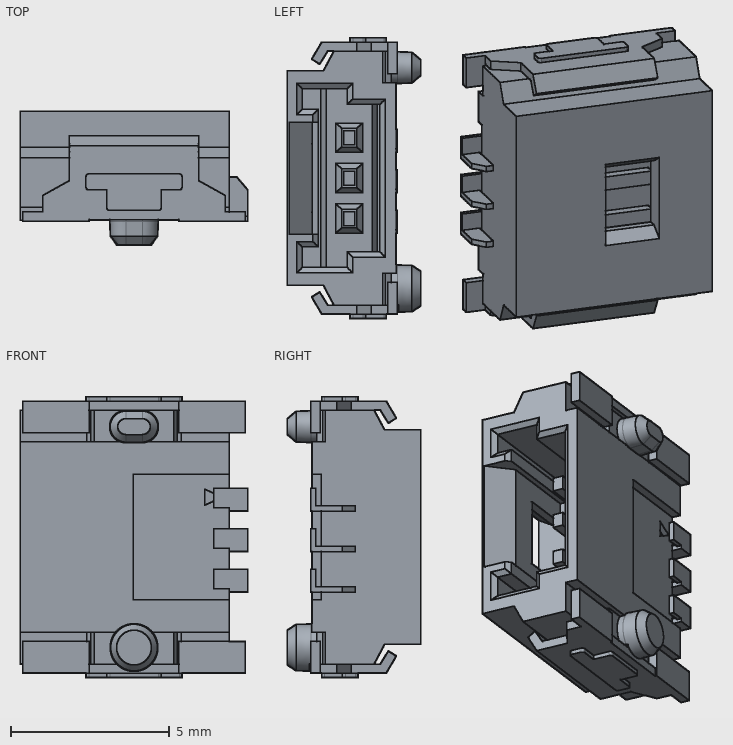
import cadquery as cq
import math


mouth_x = -3.6
rear_x = 3.01
body_front_y = 0.04
body_back_y = 3.485
rib_half_z = 4.02
back_half_z = 3.4
floor_half_z = 3.01
rib_slope_start_y = 2.01
rib_slope_end_y = 2.34

wall_chamfer = 0.17
chamfer_length = 0.125
cavity_end_x = 1.96
cavity_back_y = 3.005
rail_y = 2.5
rail_half_z = 2.18
cavity_step_y = 1.58
cavity_front_y = 0.55
cavity_wide_z = 2.83
cavity_narrow_z = 2.33

channel_half_z = 1.77
channel_y = 2.69
channel_end_x = 0
ramp_y = 3.42
window_start_x = -1.81
window_half_z = 1.085
window_flare_y = 2.99
window_flare_angle = 30

pitch = 1.28
contact_count = 3
pin_y = 1.52
platform_x = 1.66
platform_top_y = (0.79, 2.25)
platform_base_y = (0.63, 2.42)
pedestal_base = (0.86, 0.925)
pedestal_top = (0.47, 0.6)
pedestal_height = 0.22
pin_size = (0.34, 0.445)
pin_tip_x = -2.22
lead_tip_x = 3.6
lead_top_y = 1.405
lead_shoulder_x = 3.25
lead_shoulder_y = 1.0
lead_low_z = -0.46
lead_high_z = -0.285
foot_start_x = 2.52
foot_thickness = 0.16
foot_low_z = -0.36
foot_high_z = 0.27

pocket_start_x = -0.02
pocket_half_z = 1.98
pocket_floor_y = 0.33
marker_x = 2.23
marker_tip_x = 2.78
marker_width = 0.52
marker_depth = 0.2
marker_z = 1.26

recess_y = 0.45
inner_recess_y = 0.38
inner_recess_half_x = 1.49
pad_y = 0.2
pad_base_half_x = 1.36
pad_top_half_x = 1.26

peg_z = 3.49
peg_tip_y = -0.75
peg_cone_y = -0.46
peg_draft_y = 0
round_peg_radius = 0.76
round_peg_cone_radius = 0.74
round_peg_tip_radius = 0.55
clip_gap_y = -0.045
slot_peg_straight = 0.53
slot_peg_radius = 0.51
slot_peg_cone_radius = 0.49
slot_peg_tip_radius = 0.25

clip_top_z = 4.3
clip_half_x = 3.52
clip_neck_half_x = 2.89
clip_back_half_x = 2.045
clip_tab_start_x = 1.42
clip_tab_y = 0.3
clip_tab_low_z = 3.3
clip_middle_y = 0.05
clip_neck_y = 0.82
clip_shoulder_y = 1.29
clip_bend_inner_y = 2.2
clip_bend_outer_y = 2.39
clip_lip_end = ((2.71, 3.76), (2.45, 3.6))
emboss_top_z = 4.445
emboss_bar_half_x = 1.52
emboss_bar_y = (1.0, 1.5)
emboss_stem_half_x = 0.86
emboss_stem_y = 0.35
emboss_corner = 0.09


def box(x0, x1, y0, y1, z0, z1):
    """Block between two opposite corners."""
    return cq.Workplane("XY").box(x1 - x0, y1 - y0, z1 - z0, centered=False).translate((x0, y0, z0))


def both_sides(shape):
    """The shape together with its mirror image across Z = 0."""
    return shape.union(shape.mirror("XY"))


def mirrored(points):
    """Close a half outline with its reflection in the second coordinate."""
    return points + [(a, -b) for a, b in reversed(points)]


def prism_x(points, x0, x1):
    """Prism along X from a (Y, Z) outline."""
    return cq.Workplane("YZ", origin=(x0, 0, 0)).polyline(points).close().extrude(x1 - x0)


def prism_z(points, z0, z1):
    """Prism along Z from an (X, Y) outline."""
    return cq.Workplane("XY", origin=(0, 0, z0)).polyline(points).close().extrude(z1 - z0)


def housing_block():
    half = [
        (body_front_y, floor_half_z),
        (recess_y, floor_half_z),
        (recess_y, rib_half_z),
        (rib_slope_start_y, rib_half_z),
        (rib_slope_end_y, back_half_z),
        (body_back_y, back_half_z),
    ]
    return prism_x(mirrored(half), mouth_x, rear_x)


def cavity_outline(grow):
    half = [
        (cavity_front_y - grow, cavity_narrow_z + grow),
        (cavity_step_y - grow, cavity_narrow_z + grow),
        (cavity_step_y - grow, cavity_wide_z + grow),
        (cavity_back_y + grow, cavity_wide_z + grow),
        (cavity_back_y + grow, rail_half_z - grow),
        (rail_y + grow, rail_half_z - grow),
    ]
    return mirrored(half)


def cavity():
    deep = prism_x(cavity_outline(0), mouth_x, cavity_end_x)
    mouth = (
        cq.Workplane("YZ", origin=(mouth_x, 0, 0))
        .polyline(cavity_outline(wall_chamfer)).close()
        .workplane(offset=chamfer_length)
        .polyline(cavity_outline(0)).close()
        .loft(ruled=True)
    )
    return deep.union(mouth)


def latch_channel():
    ramp_end_x = mouth_x + ramp_y - channel_y
    outline = [
        (mouth_x, rail_y),
        (mouth_x, ramp_y),
        (ramp_end_x, channel_y),
        (channel_end_x, channel_y),
        (channel_end_x, rail_y),
    ]
    channel = prism_z(outline, -channel_half_z, channel_half_z)
    flare_depth = body_back_y - window_flare_y
    flared_half_z = window_half_z + flare_depth * math.tan(math.radians(window_flare_angle))
    window_half = [
        (channel_y, window_half_z),
        (window_flare_y, window_half_z),
        (body_back_y, flared_half_z),
    ]
    window = prism_x(mirrored(window_half), window_start_x, channel_end_x)
    return channel.union(window)


def underside_pocket():
    pocket = box(pocket_start_x, rear_x, body_front_y, pocket_floor_y, -pocket_half_z, pocket_half_z)
    marker = (
        cq.Workplane("XZ", origin=(0, pocket_floor_y, 0))
        .polyline([
            (marker_x, marker_z - marker_width / 2),
            (marker_x, marker_z + marker_width / 2),
            (marker_tip_x, marker_z),
        ])
        .close()
        .extrude(-marker_depth)
    )
    return pocket.union(marker)


def peg_pad():
    """Raised centre of a side recess, stepped once and then sloped."""
    outline = [
        (-inner_recess_half_x, recess_y),
        (-inner_recess_half_x, inner_recess_y),
        (-pad_base_half_x, inner_recess_y),
        (-pad_top_half_x, pad_y),
        (pad_top_half_x, pad_y),
        (pad_base_half_x, inner_recess_y),
        (inner_recess_half_x, inner_recess_y),
        (inner_recess_half_x, recess_y),
    ]
    return prism_z(outline, floor_half_z, rib_half_z)


def round_peg():
    profile = [
        (0, pad_y),
        (round_peg_radius, pad_y),
        (round_peg_radius, peg_draft_y),
        (round_peg_cone_radius, peg_cone_y),
        (round_peg_tip_radius, peg_tip_y),
        (0, peg_tip_y),
    ]
    peg = cq.Workplane("XY").polyline(profile).close().revolve(360, (0, 0, 0), (0, 1, 0))
    peg = peg.translate((0, 0, -peg_z))
    relief = box(-round_peg_radius, round_peg_radius, clip_gap_y, pad_y, -clip_top_z, -rib_half_z)
    return peg.cut(relief)


def slot_section(start_y, start_radius, end_y, end_radius):
    """Stretch of the slot-shaped peg between two heights."""
    straight = slot_peg_straight
    return (
        cq.Workplane("XZ", origin=(0, start_y, peg_z))
        .slot2D(straight + 2 * start_radius, 2 * start_radius)
        .workplane(offset=start_y - end_y)
        .slot2D(straight + 2 * end_radius, 2 * end_radius)
        .loft(ruled=True)
    )


def slot_peg():
    base = slot_section(pad_y, slot_peg_radius, peg_draft_y, slot_peg_radius)
    shank = slot_section(peg_draft_y, slot_peg_radius, peg_cone_y, slot_peg_cone_radius)
    tip = slot_section(peg_cone_y, slot_peg_cone_radius, peg_tip_y, slot_peg_tip_radius)
    return base.union(shank).union(tip)


def contact_platform():
    outline = [
        (cavity_end_x, platform_base_y[0]),
        (platform_x, platform_top_y[0]),
        (platform_x, platform_top_y[1]),
        (cavity_end_x, platform_base_y[1]),
    ]
    return prism_z(outline, -cavity_wide_z, cavity_wide_z)


def contact():
    """Pedestal, pin and solder lead of one contact, centred on Z = 0."""
    pedestal = (
        cq.Workplane("YZ", origin=(platform_x, pin_y, 0))
        .rect(*pedestal_base)
        .workplane(offset=-pedestal_height)
        .rect(*pedestal_top)
        .loft(ruled=True)
    )
    pin = cq.Workplane("YZ", origin=(pin_tip_x, pin_y, 0)).rect(*pin_size).extrude(platform_x - pin_tip_x)
    lead_outline = [
        (rear_x, 0),
        (rear_x, lead_top_y),
        (lead_shoulder_x, lead_top_y),
        (lead_tip_x, lead_shoulder_y),
        (lead_tip_x, 0),
    ]
    lead = prism_z(lead_outline, lead_low_z, lead_high_z)
    foot = box(foot_start_x, lead_tip_x, 0, foot_thickness, foot_low_z, foot_high_z)
    return pedestal.union(pin).union(lead).union(foot)


def clip_plate():
    right = [
        (clip_tab_start_x, clip_middle_y),
        (clip_tab_start_x, 0),
        (clip_half_x, 0),
        (clip_half_x, clip_tab_y),
        (clip_neck_half_x, clip_tab_y),
        (clip_neck_half_x, clip_neck_y),
        (clip_back_half_x, clip_shoulder_y),
        (clip_back_half_x, clip_bend_inner_y),
    ]
    outline = right + [(-x, y) for x, y in reversed(right)]
    return prism_z(outline, rib_half_z, clip_top_z)


def clip_lip():
    """Bent edge of the clip, hooked inwards over the housing shoulder."""
    outline = [
        (clip_shoulder_y, rib_half_z),
        (clip_shoulder_y, clip_top_z),
        (clip_bend_outer_y, clip_top_z),
        *clip_lip_end,
        (clip_bend_inner_y, rib_half_z),
    ]
    return prism_x(outline, -clip_back_half_x, clip_back_half_x)


def clip_emboss():
    bar = box(-emboss_bar_half_x, emboss_bar_half_x, *emboss_bar_y, clip_top_z, emboss_top_z)
    bar = bar.edges("|Z").fillet(emboss_corner)
    stem = box(
        -emboss_stem_half_x, emboss_stem_half_x, emboss_stem_y, emboss_bar_y[1], clip_top_z, emboss_top_z
    )
    stem = stem.edges("|Z and <Y").fillet(emboss_corner)
    return bar.union(stem)


def clip():
    shape = clip_plate().union(clip_lip()).union(clip_emboss())
    for x0 in (-clip_half_x, clip_tab_start_x):
        x1 = x0 + clip_half_x - clip_tab_start_x
        shape = shape.union(box(x0, x1, 0, clip_tab_y, clip_tab_low_z, clip_top_z))
    return shape


result = housing_block().cut(cavity()).cut(latch_channel())
result = result.cut(underside_pocket())
result = result.union(contact_platform())
result = result.union(both_sides(peg_pad()))
result = result.union(both_sides(clip()))
result = result.union(slot_peg()).union(round_peg())
for index in range(contact_count):
    offset_z = (index - (contact_count - 1) / 2) * pitch
    result = result.union(contact().translate((0, 0, offset_z)))